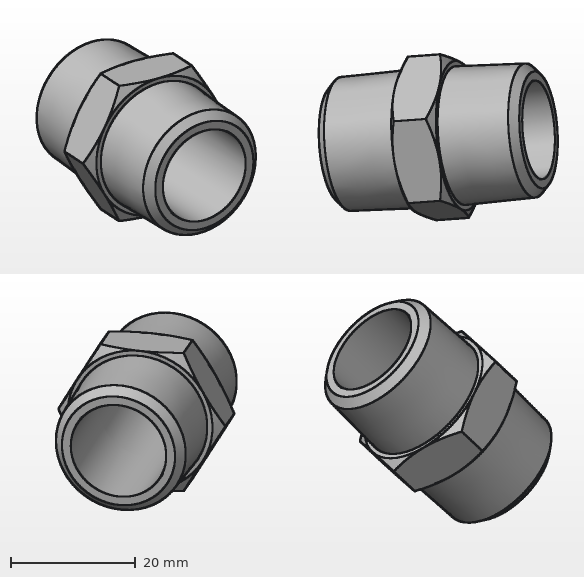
import cadquery as cq
import math

length = 34.0
hex_width = 7.58
across_flats = 24.0
bore_diameter = 15.85
root_diameter = 22.3
taper = 1 / 16
end_chamfer = 1.4
hex_chamfer_angle = 30.0

half_length = length / 2
half_hex = hex_width / 2
flat_radius = across_flats / 2
corner_radius = flat_radius / math.cos(math.radians(30))


def revolve_about_x(points):
    """Turn a closed (x, radius) outline about the X axis."""
    return cq.Workplane("XY").polyline(points).close().revolve(360, (0, 0, 0), (1, 0, 0))


def make_hexagon():
    """Hexagonal grip, corners on Y, with both ends turned down to the flats."""
    prism = (
        cq.Workplane("YZ")
        .polygon(6, 2 * corner_radius)
        .extrude(half_hex, both=True)
    )
    cone_radius = corner_radius + 0.35
    cone_depth = (cone_radius - flat_radius) * math.tan(math.radians(hex_chamfer_angle))
    envelope = revolve_about_x([
        (-half_hex, 0),
        (-half_hex, flat_radius),
        (-half_hex + cone_depth, cone_radius),
        (half_hex - cone_depth, cone_radius),
        (half_hex, flat_radius),
        (half_hex, 0),
    ])
    return prism.intersect(envelope)


def make_tapered_end(side):
    """Tapered, chamfered end; side is -1 or +1 along X."""
    root_radius = root_diameter / 2
    taper_length = half_length - half_hex - end_chamfer
    tip_radius = root_radius - taper_length * taper / 2
    return revolve_about_x([
        (0, 0),
        (0, root_radius),
        (side * half_hex, root_radius),
        (side * (half_length - end_chamfer), tip_radius),
        (side * half_length, tip_radius - end_chamfer),
        (side * half_length, 0),
    ])


body = make_hexagon()
for side in (-1, 1):
    body = body.union(make_tapered_end(side))

bore = cq.Workplane("YZ").circle(bore_diameter / 2).extrude(half_length, both=True)
result = body.cut(bore)